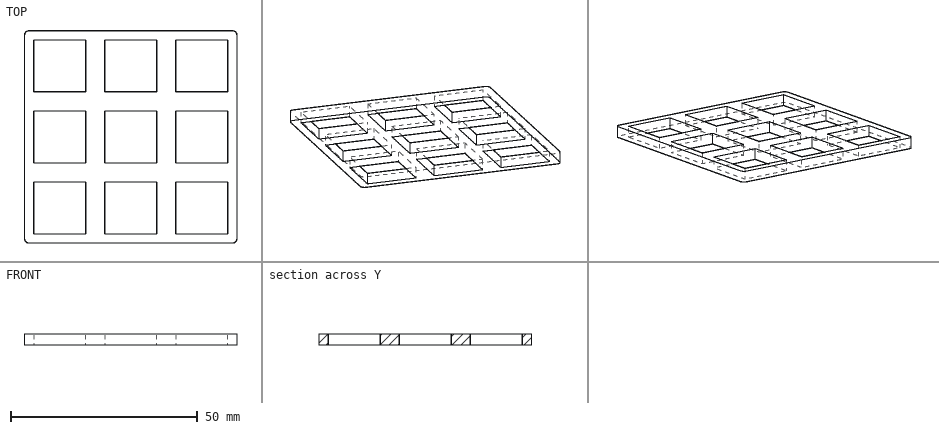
import cadquery as cq

side = 56.85
thickness = 3.0
corner_radius = 1.25

windows_per_side = 3
window_pitch = 19.0
window_size = 13.8

plate = (
    cq.Workplane("XY")
    .box(side, side, thickness)
    .edges("|Z")
    .fillet(corner_radius)
)

result = (
    plate.faces(">Z")
    .workplane()
    .rarray(window_pitch, window_pitch, windows_per_side, windows_per_side)
    .rect(window_size, window_size)
    .cutThruAll()
)